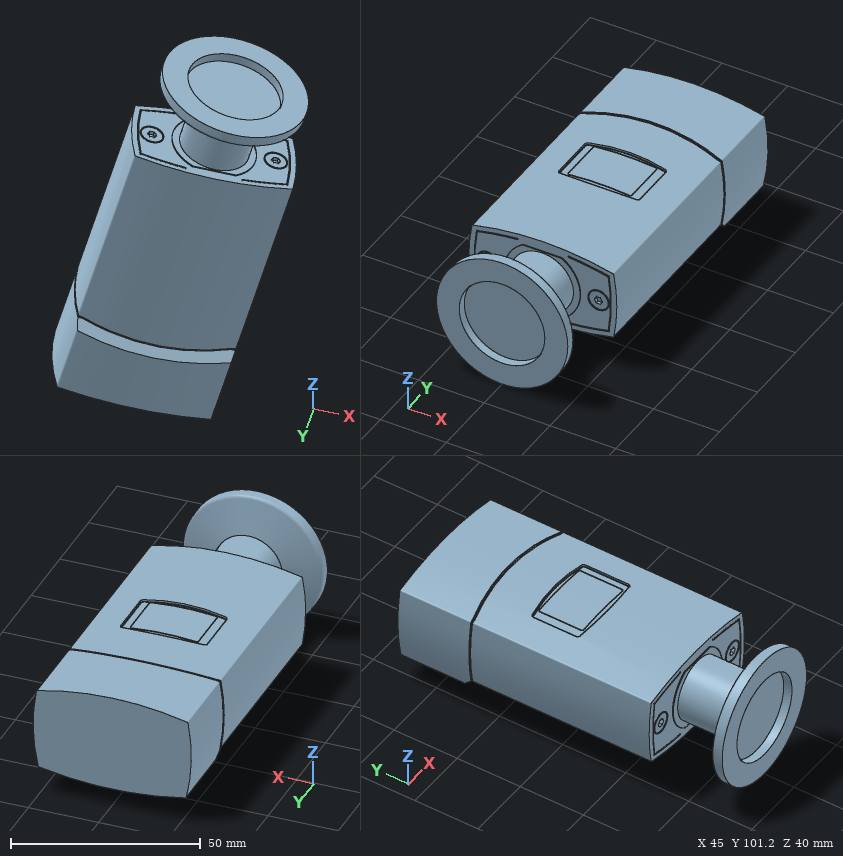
import cadquery as cq
import math

total_length = 101.2

half_width = 22.52
half_height = 13.1
corner_half_width = 21.6
corner_half_height = 10.4
corner_radius = 0.5
cap_extra_depth = 2.0
cap_corner_drop = 2.5

housing_front_y = 21.5
seam_y = 78.6
seam_slope_z = 10.5
seam_gap = 0.4
seam_gap_depth = 0.2

flange_radius = 19.99
tube_radius = 19.0 / 2
flange_cone_y = 6.1
flange_cone_angle = 15.0
flange_rim_fillet = 1.0
flange_bore_radius = 26.0 / 2
flange_bore_depth = 2.6
collar_radius = 11.5
collar_half_height = 9.9
collar_thickness = 0.3

plate_inset = 1.6
slit_width = 0.3
slit_depth = 0.5
slit_inner_x = 7.7

screw_x = 16.9
screw_head_radius = 6.0 / 2
screw_gap = 0.2
screw_gap_depth = 0.3
socket_corner_diameter = 2.4
socket_depth = 1.0

panel_y = 58.2
panel_half_width = 12.3
panel_side_half_length = 7.5
panel_mid_half_length = 8.5
panel_corner_radius = 0.9
panel_groove_width = 0.3
panel_groove_depth = 0.6
panel_drop = 0.4
window_width = 19.3
window_length = 14.1
window_corner_radius = 0.5
window_drop = 0.2


def side_bulge_at(z):
    """Half width of the section at height z, on the circular side arc."""
    sag = half_width - corner_half_width
    radius = (corner_half_height**2 + sag**2) / (2 * sag)
    return half_width - radius + math.sqrt(radius**2 - z**2)


def section(y_start, y_end, inset=0.0, extra_depth=0.0, corner_drop=0.0):
    """Bulged bar along Y, shrunk by the inset on every side; the bottom can be set lower."""
    bottom_corner_z = -corner_half_height - corner_drop
    bottom_corner_x = side_bulge_at(bottom_corner_z)
    bar = (
        cq.Workplane("XZ", origin=(0, y_start, 0))
        .moveTo(-corner_half_width, corner_half_height)
        .threePointArc((0, half_height), (corner_half_width, corner_half_height))
        .threePointArc((half_width, 0), (bottom_corner_x, bottom_corner_z))
        .threePointArc((0, -half_height - extra_depth), (-bottom_corner_x, bottom_corner_z))
        .threePointArc((-half_width, 0), (-corner_half_width, corner_half_height))
        .close()
    )
    if inset:
        return bar.offset2D(-inset).extrude(y_start - y_end)
    return bar.extrude(y_start - y_end).edges("|Y").fillet(corner_radius)


def in_front_of_seam(shift=0.0):
    """Block in front of the seam, which slopes back above and below its flat middle part."""
    reach = half_height + cap_extra_depth
    slope_end_y = seam_y + shift + reach
    slope_end_z = seam_slope_z + reach
    return (
        cq.Workplane("YZ", origin=(-2 * half_width, 0, 0))
        .polyline([
            (0, slope_end_z),
            (slope_end_y, slope_end_z),
            (seam_y + shift, seam_slope_z),
            (seam_y + shift, -seam_slope_z),
            (slope_end_y, -slope_end_z),
            (0, -slope_end_z),
        ])
        .close()
        .extrude(4 * half_width)
    )


def seam_groove():
    """Shallow groove round the rear edge of the housing, open towards the cap."""
    band = in_front_of_seam().cut(in_front_of_seam(-seam_gap))
    return band.cut(section(housing_front_y, total_length, seam_gap_depth))


def plate_slits():
    """C-shaped slit at each side of the front face, parallel to the outline."""
    slit_end_y = housing_front_y + slit_depth
    ring = section(housing_front_y, slit_end_y, plate_inset).cut(
        section(housing_front_y, slit_end_y, plate_inset + slit_width)
    )
    middle = cq.Workplane("XY").box(2 * slit_inner_x, 2 * total_length, 4 * half_height)
    return ring.cut(middle)


def screw_recess(x):
    """Ring-shaped gap round a flush screw head, and the hexagon socket in the head."""
    face = cq.Workplane("XZ", origin=(x, housing_front_y, 0))
    gap = face.circle(screw_head_radius + screw_gap).circle(screw_head_radius).extrude(-screw_gap_depth)
    socket = face.polygon(6, socket_corner_diameter).extrude(-socket_depth)
    return gap.union(socket)


def panel_block(inset=0.0):
    """Upright block with the panel outline, whose front and rear edges are arched."""
    side = panel_half_width - inset
    corner_y = panel_side_half_length - inset
    mid_y = panel_mid_half_length - inset
    return (
        cq.Workplane("XY", origin=(0, panel_y, 0))
        .moveTo(-side, -corner_y)
        .threePointArc((0, -mid_y), (side, -corner_y))
        .lineTo(side, corner_y)
        .threePointArc((0, mid_y), (-side, corner_y))
        .close()
        .extrude(2 * half_height)
        .edges("|Z")
        .fillet(panel_corner_radius - inset)
    )


def window_block():
    return (
        cq.Workplane("XY", origin=(0, panel_y, 0))
        .rect(window_width, window_length)
        .extrude(2 * half_height)
        .edges("|Z")
        .fillet(window_corner_radius)
    )


def down_to_depth(block, depth):
    """Part of a block that lies above a surface at this depth under the crowned top."""
    return block.cut(section(housing_front_y, seam_y, depth))


def panel_recess():
    """Lowered panel with a groove round it and a slightly raised window."""
    panel = panel_block(panel_groove_width)
    groove = down_to_depth(panel_block().cut(panel), panel_groove_depth)
    surround = down_to_depth(panel.cut(window_block()), panel_drop)
    window = down_to_depth(window_block(), window_drop)
    return groove.union(surround).union(window)


def flange():
    """Tube with a conical clamping flange, as a revolved solid along Y."""
    cone_drop = (flange_radius - tube_radius) * math.tan(math.radians(flange_cone_angle))
    rim_y = flange_cone_y - cone_drop
    body = (
        cq.Workplane("XY")
        .polyline([
            (0, 0),
            (flange_radius, 0),
            (flange_radius, rim_y),
            (tube_radius, flange_cone_y),
            (tube_radius, housing_front_y),
            (0, housing_front_y),
        ])
        .close()
        .revolve(360, (0, 0, 0), (0, 1, 0))
    )
    rim = cq.selectors.NearestToPointSelector((0, rim_y, 0))
    body = body.edges(rim).fillet(flange_rim_fillet)
    bore = cq.Workplane("XZ").circle(flange_bore_radius).extrude(-flange_bore_depth)
    return body.cut(bore)


def collar():
    """Thin disc round the tube, cut flat at top and bottom."""
    disc = cq.Workplane("XZ", origin=(0, housing_front_y, 0)).circle(collar_radius).extrude(collar_thickness)
    flats = cq.Workplane("XY").box(2 * half_width, 2 * total_length, 2 * collar_half_height)
    return disc.intersect(flats)


def make_housing():
    body = section(housing_front_y, total_length).intersect(in_front_of_seam())
    body = body.cut(seam_groove()).cut(plate_slits()).cut(panel_recess())
    for x in (-screw_x, screw_x):
        body = body.cut(screw_recess(x))
    return body.union(collar()).union(flange())


def make_cap():
    bar = section(seam_y, total_length, extra_depth=cap_extra_depth, corner_drop=cap_corner_drop)
    return bar.cut(in_front_of_seam())


housing = make_housing()
cap = make_cap()

result = cq.Compound.makeCompound([housing.val(), cap.val()])